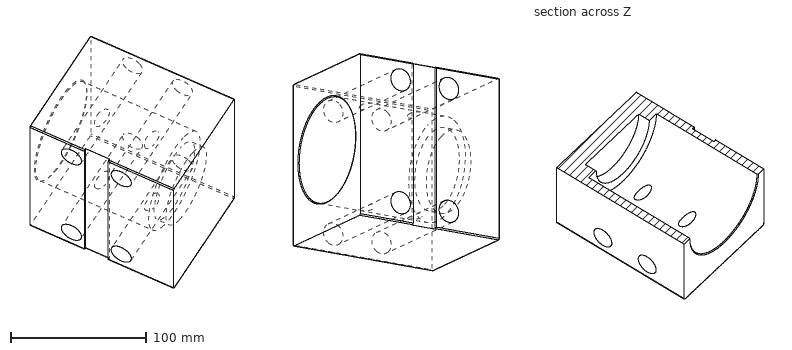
import cadquery as cq

LENGTH = 121.0
DEPTH = 95.0
HEIGHT = 125.0
EDGE_CHAMFER = 1.0

CENTRE_LINE_X = -4.5
GROOVE_WIDTH = 20.0
GROOVE_DEPTH = 2.0
BOLT_DIAMETER = 17.0
BOLT_SPACING_X = 42.0
BOLT_SPACING_Z = 95.0

BORE_DIAMETER = 80.0
BORE_DEPTH = 96.0
BORE_CHAMFER = 0.8
INNER_BORE_DIAMETER = 63.0
INNER_BORE_DEPTH = 106.0


def make_block():
    """Block with its four long edges chamfered."""
    block = cq.Workplane("XY").box(LENGTH, DEPTH, HEIGHT)
    return block.edges("|X").chamfer(EDGE_CHAMFER)


def make_groove():
    """Shallow key groove over the full height of the front face."""
    groove = cq.Workplane("XY").box(GROOVE_WIDTH, 2 * GROOVE_DEPTH, HEIGHT)
    return groove.translate((CENTRE_LINE_X, -DEPTH / 2, 0))


def make_bolt_holes():
    """Four through holes along Y, in a rectangle about the groove."""
    return (
        cq.Workplane("XZ", origin=(CENTRE_LINE_X, DEPTH / 2, 0))
        .rarray(BOLT_SPACING_X, BOLT_SPACING_Z, 2, 2)
        .circle(BOLT_DIAMETER / 2)
        .extrude(DEPTH)
    )


def make_bore():
    """Half profile of the stepped bore, revolved about the X axis."""
    mouth_x = -LENGTH / 2
    step_x = mouth_x + BORE_DEPTH
    floor_x = mouth_x + INNER_BORE_DEPTH
    bore_radius = BORE_DIAMETER / 2
    inner_radius = INNER_BORE_DIAMETER / 2
    profile = cq.Workplane("XY").polyline([
        (mouth_x, 0),
        (mouth_x, bore_radius + BORE_CHAMFER),
        (mouth_x + BORE_CHAMFER, bore_radius),
        (step_x, bore_radius),
        (step_x, inner_radius),
        (floor_x, inner_radius),
        (floor_x, 0),
    ]).close()
    return profile.revolve(360, (0, 0, 0), (1, 0, 0))


result = make_block().cut(make_groove()).cut(make_bolt_holes()).cut(make_bore())